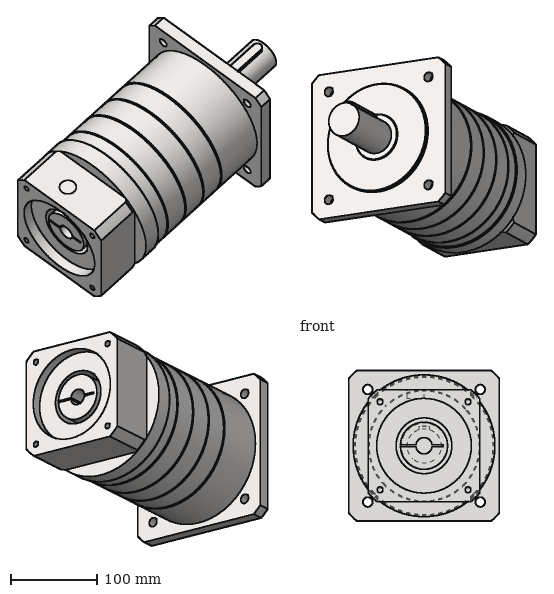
import cadquery as cq
import math


LENGTH = 356.5
ADAPTER_BLOCK_END = 59.0
ADAPTER_COLLAR_END = 81.5
RING_START = 98.5
RING_END = 192.0
FLANGE_BACK = 254.5
FLANGE_FRONT = 270.0
PILOT_FRONT = 274.5
SHOULDER_FRONT = 276.0

FLANGE_SIDE = 175.0
FLANGE_CORNER_DIA = 235.0
FLANGE_BOLT_SPACING = 131.0
FLANGE_HOLE_DIA = 11.0
BODY_DIA = 162.0
PILOT_DIA = 130.0
PILOT_CHAMFER = 1.0

RING_SECTIONS = 3
HOUSING_CHAMFER = 1.0
RING_CHAMFER = 1.0
GROOVE_WIDTH = 2.0
GROOVE_DEPTH = 0.5

SHAFT_DIA = 40.0
SHOULDER_DIA = 55.0
SHOULDER_CHAMFER = 0.7
KEY_WIDTH = 12.0
KEY_LENGTH = 70.0
KEY_TOP = 23.0
KEY_CHAMFER = 0.6
KEY_END_GAP = 5.0

COLLAR_DIA = 165.0
COLLAR_CHAMFER = 1.0
BLOCK_SIDE = 130.0
BLOCK_CORNER_DIA = 169.7
BLOCK_TAPER_LENGTH = 4.0
POCKET_DIA = 110.0
POCKET_DEPTH = 13.0
HUB_BORE_DIA = 65.0
MOTOR_BOLT_SPACING = 102.3
MOTOR_HOLE_DIA = 6.8
MOTOR_HOLE_DEPTH = 20.0
DRILL_TIP_ANGLE = 118.0

PLUG_DIA = 19.5
PLUG_X = -10.0
PLUG_Y = 26.0
PLUG_THICKNESS = 10.0

HUB_DIA = 55.0
HUB_PROTRUSION = 1.0
HUB_FACE = POCKET_DEPTH - HUB_PROTRUSION
MOTOR_SHAFT_DIA = 19.0
SLIT_WIDTH = 2.0
SLIT_END_X = 22.5


def cylinder(diameter, start, end):
    """Solid cylinder on the gearbox axis between two stations."""
    plane = cq.Workplane("XZ", origin=(0, start, 0))
    return plane.circle(diameter / 2).extrude(start - end)


def rounded_block(side, corner_diameter, start, end):
    """Square block whose corners are turned down to a cylinder on the axis."""
    plane = cq.Workplane("XZ", origin=(0, start, 0))
    block = plane.rect(side, side).extrude(start - end)
    return block.intersect(cylinder(corner_diameter, start, end))


def square_pattern(spacing):
    """The four (x, z) places of a square bolt pattern."""
    half = spacing / 2
    return [(x, z) for x in (-half, half) for z in (-half, half)]


def make_housing():
    body = cylinder(BODY_DIA, RING_END, FLANGE_BACK).faces("<Y").chamfer(HOUSING_CHAMFER)
    flange = rounded_block(FLANGE_SIDE, FLANGE_CORNER_DIA, FLANGE_BACK, FLANGE_FRONT)
    pilot = cylinder(PILOT_DIA, FLANGE_FRONT, PILOT_FRONT).faces(">Y").chamfer(PILOT_CHAMFER)
    holes = (
        cq.Workplane("XZ", origin=(0, FLANGE_BACK, 0))
        .pushPoints(square_pattern(FLANGE_BOLT_SPACING))
        .circle(FLANGE_HOLE_DIA / 2)
        .extrude(FLANGE_BACK - FLANGE_FRONT)
    )
    return body.union(flange).union(pilot).cut(holes)


def v_groove(station):
    """Ring-shaped cutter for a shallow V-groove around the ring gear."""
    rim = BODY_DIA / 2
    half_width = GROOVE_WIDTH / 2
    return (
        cq.Workplane("XY")
        .moveTo(rim, station - half_width)
        .lineTo(rim - GROOVE_DEPTH, station)
        .lineTo(rim, station + half_width)
        .lineTo(rim + GROOVE_DEPTH, station)
        .close()
        .revolve(360, (0, 0, 0), (0, 1, 0))
    )


def make_ring_gear():
    section_length = (RING_END - RING_START) / RING_SECTIONS
    ring = cylinder(BODY_DIA, RING_START, RING_END).faces("<Y or >Y").chamfer(RING_CHAMFER)
    for index in range(1, RING_SECTIONS):
        ring = ring.cut(v_groove(RING_START + index * section_length))
    return ring


def make_shaft():
    shoulder = cylinder(SHOULDER_DIA, PILOT_FRONT, SHOULDER_FRONT)
    shoulder = shoulder.faces(">Y").chamfer(SHOULDER_CHAMFER)
    shaft = cylinder(SHAFT_DIA, SHOULDER_FRONT, LENGTH)
    key_center = LENGTH - KEY_END_GAP - KEY_LENGTH / 2
    key = (
        cq.Workplane("XY", origin=(0, key_center, 0))
        .slot2D(KEY_LENGTH, KEY_WIDTH, 90)
        .extrude(KEY_TOP)
        .faces(">Z")
        .chamfer(KEY_CHAMFER)
    )
    return shaft.union(shoulder).union(key)


def make_block():
    """Square motor block whose corners taper to meet the collar."""
    block = rounded_block(BLOCK_SIDE, BLOCK_CORNER_DIA, 0, ADAPTER_BLOCK_END)
    taper = (BLOCK_CORNER_DIA - COLLAR_DIA) / 2
    envelope = cylinder(BLOCK_CORNER_DIA, 0, ADAPTER_BLOCK_END)
    envelope = envelope.faces(">Y").chamfer(BLOCK_TAPER_LENGTH, taper)
    return block.intersect(envelope)


def make_motor_holes():
    """Blind drilled holes with conical ends."""
    radius = MOTOR_HOLE_DIA / 2
    tip_length = radius / math.tan(math.radians(DRILL_TIP_ANGLE / 2))
    holes = cq.Workplane("XZ")
    for x, z in square_pattern(MOTOR_BOLT_SPACING):
        hole = (
            cq.Workplane("XY", origin=(x, 0, z))
            .lineTo(radius, 0)
            .lineTo(radius, MOTOR_HOLE_DEPTH)
            .lineTo(0, MOTOR_HOLE_DEPTH + tip_length)
            .close()
            .revolve(360, (0, 0, 0), (0, 1, 0))
        )
        holes = holes.union(hole)
    return holes


def make_plug():
    plane = cq.Workplane("XY", origin=(PLUG_X, PLUG_Y, BLOCK_SIDE / 2))
    return plane.circle(PLUG_DIA / 2).extrude(-PLUG_THICKNESS)


def make_adapter(plug):
    collar = cylinder(COLLAR_DIA, ADAPTER_BLOCK_END, ADAPTER_COLLAR_END)
    collar = collar.faces(">Y").chamfer(COLLAR_CHAMFER)
    spigot = cylinder(BODY_DIA, ADAPTER_COLLAR_END, RING_START)
    pocket = cylinder(POCKET_DIA, 0, POCKET_DEPTH)
    hub_bore = cylinder(HUB_BORE_DIA, POCKET_DEPTH, ADAPTER_BLOCK_END)
    adapter = make_block().union(collar).union(spigot)
    return adapter.cut(pocket).cut(hub_bore).cut(make_motor_holes()).cut(plug)


def make_hub():
    hub_length = ADAPTER_BLOCK_END - HUB_FACE
    bore = cylinder(MOTOR_SHAFT_DIA, HUB_FACE, ADAPTER_BLOCK_END)
    slit_start_x = -HUB_DIA / 2
    slit = cq.Workplane("XY").box(
        SLIT_END_X - slit_start_x, hub_length, SLIT_WIDTH, centered=(False, False, True)
    )
    slit = slit.translate((slit_start_x, HUB_FACE, 0))
    return cylinder(HUB_DIA, HUB_FACE, ADAPTER_BLOCK_END).cut(bore).cut(slit)


housing = make_housing()
ring_gear = make_ring_gear()
shaft = make_shaft()
plug = make_plug()
adapter = make_adapter(plug)
hub = make_hub()

result = cq.Compound.makeCompound(
    [housing.val(), ring_gear.val(), shaft.val(), adapter.val(), plug.val(), hub.val()]
)